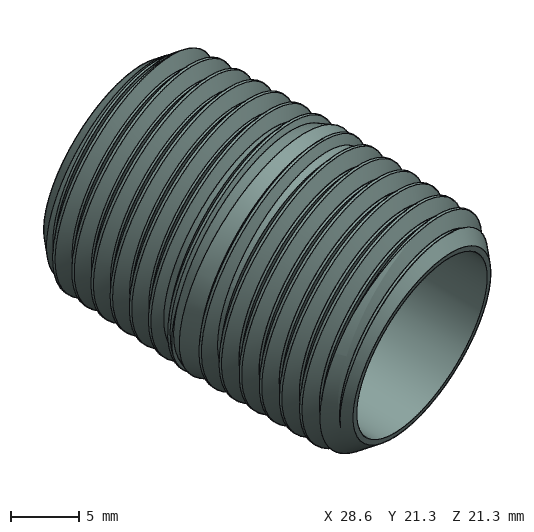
import cadquery as cq
import math

length = 28.57
half_length = length / 2
ridge_radius = 10.67
bore_radius = 7.9
end_face_radius = 8.37
taper = 1 / 32

pitch = 1.815
thread_depth = 1.2
crest_width = 0.23
flank_angle = math.radians(30)
root_overlap = 0.43
thread_limit = 13.49
flare_angle = math.radians(24)

seam_angle = 37.0

crest_at_top = 1.97
thread_start = crest_at_top - 1.5 * pitch
thread_turns = 8.25


def crest_radius(x):
    return ridge_radius - taper * (half_length - x)


def root_radius(x):
    return crest_radius(x) - thread_depth


def flare_radius(x):
    return ridge_radius - math.tan(flare_angle) * (half_length - x)


def revolve_about_x(outline):
    solid = cq.Workplane("XY").polyline(outline).close().revolve(360, (0, 0, 0), (1, 0, 0))
    return solid.rotate((0, 0, 0), (1, 0, 0), seam_angle)


def core_outline():
    """Left half of the unthreaded blank: root cone, overlong at the end, and ridge side."""
    blank_end = -pitch
    flare_length = thread_depth / (math.tan(flare_angle) - taper)
    flare_start = half_length - flare_length
    return [
        (blank_end, 0),
        (blank_end, root_radius(blank_end)),
        (flare_start, root_radius(flare_start)),
        (half_length, ridge_radius),
        (half_length, 0),
    ]


def make_thread():
    """Tapered helical rib, coiled about Z and then laid along X."""
    start_radius = crest_radius(thread_start)
    path = cq.Wire.makeHelix(
        pitch,
        thread_turns * pitch,
        start_radius,
        angle=math.degrees(math.atan(taper)),
    )
    half_crest = crest_width / 2
    half_base = half_crest + thread_depth * math.tan(flank_angle)
    base_radius = start_radius - thread_depth
    sunk_radius = base_radius - root_overlap
    rib = (
        cq.Workplane("XZ")
        .polyline([
            (sunk_radius, -half_base),
            (base_radius, -half_base),
            (start_radius, -half_crest),
            (start_radius, half_crest),
            (base_radius, half_base),
            (sunk_radius, half_base),
        ])
        .close()
        .sweep(cq.Workplane(path), isFrenet=True)
    )
    return rib.rotate((0, 0, 0), (0, 1, 0), 90).translate((thread_start, 0, 0))


def thread_limit_outline():
    """Envelope of the left half: chamfered at the end, stepped down to the bare ridge."""
    outer_radius = ridge_radius + thread_depth
    return [
        (0, 0),
        (0, end_face_radius),
        (outer_radius - end_face_radius, outer_radius),
        (thread_limit, outer_radius),
        (thread_limit, flare_radius(thread_limit)),
        (half_length, ridge_radius),
        (half_length, 0),
    ]


core = revolve_about_x(core_outline())
limits = revolve_about_x(thread_limit_outline())
left_half = core.union(make_thread()).intersect(limits)

right_half = left_half.rotate((half_length, 0, 0), (half_length, 0, 1), 180)
bore = cq.Workplane("YZ").circle(bore_radius).extrude(length)

result = left_half.union(right_half).cut(bore).translate((-half_length, 0, 0))